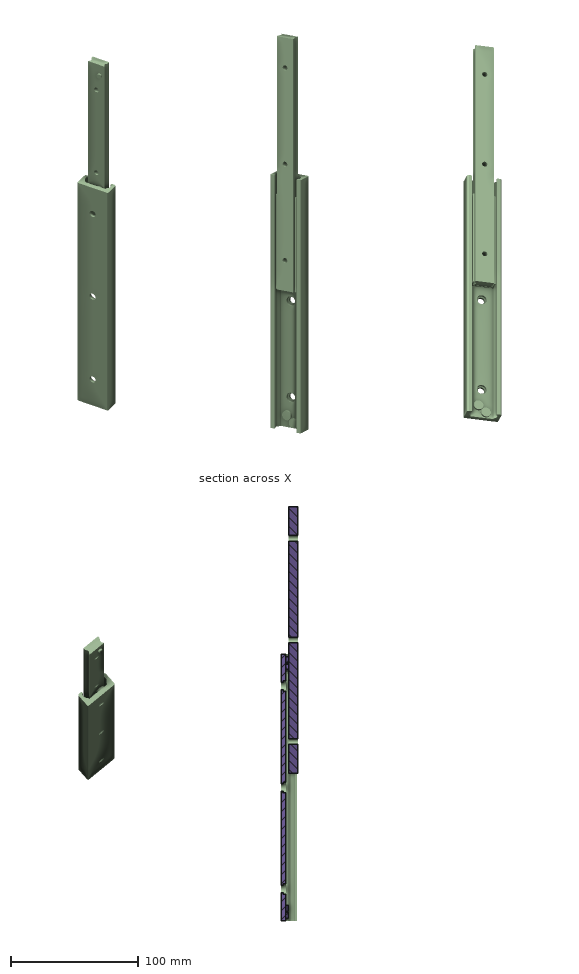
import cadquery as cq

TOTAL_HEIGHT = 326.0
BACK_Y = 6.5
FRONT_Y = -6.5
MEMBER_LENGTH = 210.0
RAIL_BOTTOM = TOTAL_HEIGHT - MEMBER_LENGTH

CHANNEL_HALF_WIDTH = 14.0
LIP_Y = 6.0
FLOOR_Y = -2.5
LIP_HALF_GAP = 10.0
RACE_HALF_GAP = 11.5
FLOOR_HALF_WIDTH = 9.5
RACE_TOP_Y = 4.2
RACE_UPPER_Y = 3.5
RACE_LOWER_Y = 0.5
RACE_BOTTOM_Y = -1.5
LIP_FILLET = 1.3
FRONT_FILLET = 1.0

RAIL_HALF_WIDTH = 7.5
RAIL_FRONT_Y = -0.5
GROOVE_DEPTH = 1.3
GROOVE_TOP_Y = 4.5
GROOVE_UPPER_Y = 2.5
GROOVE_LOWER_Y = 1.3

CAGE_HALF_WIDTH = 9.0
CAGE_SHEET = 1.0
CAGE_TOP_Y = 5.2
CAGE_LENGTH = 78.2

HOLE_PITCH = 80.0
CHANNEL_HOLE_DIAMETER = 5.5
COUNTERBORE_DIAMETER = 7.8
COUNTERBORE_DEPTH = 2.0
RAIL_HOLE_DIAMETER = 4.2

PIN_X = 3.03
STOP_PIN_DIAMETER = 4.0
STOP_PIN_INSET = 10.0
END_PIN_DIAMETER = 3.0
END_PIN_INSET = 4.5
HEAD_DIAMETER = 7.8
HEAD_THICKNESS = 1.8
RAIL_PIN_LENGTH = 1.47


def mirrored_prism(right_half, bottom, length):
    """Prism along Z whose section is right_half plus its mirror image in X = 0."""
    left_half = [(-x, y) for x, y in reversed(right_half)]
    section = cq.Workplane("XY").workplane(offset=bottom).polyline(right_half + left_half).close()
    return section.extrude(length)


def cylinder_along_y(x, z, diameter, start_y, end_y):
    """Cylinder parallel to Y between two Y positions."""
    plane = cq.Plane(origin=(x, start_y, z), xDir=(1, 0, 0), normal=(0, 1, 0))
    return cq.Workplane(plane).circle(diameter / 2).extrude(end_y - start_y)


def mounting_hole_heights(middle_z):
    """Z positions of the three mounting holes of a member."""
    return [middle_z + step * HOLE_PITCH for step in (-1, 0, 1)]


upper_pins = [
    (-PIN_X, MEMBER_LENGTH - STOP_PIN_INSET, STOP_PIN_DIAMETER),
    (PIN_X, MEMBER_LENGTH - END_PIN_INSET, END_PIN_DIAMETER),
]
lower_pins = [(-x, MEMBER_LENGTH - z, diameter) for x, z, diameter in upper_pins]
channel_pin_places = upper_pins + lower_pins


def make_channel():
    """C-section channel with ball races, counterbored mounting holes and pin holes."""
    right_half = [
        (CHANNEL_HALF_WIDTH, FRONT_Y),
        (CHANNEL_HALF_WIDTH, LIP_Y),
        (LIP_HALF_GAP, LIP_Y),
        (LIP_HALF_GAP, RACE_TOP_Y),
        (RACE_HALF_GAP, RACE_UPPER_Y),
        (RACE_HALF_GAP, RACE_LOWER_Y),
        (FLOOR_HALF_WIDTH, RACE_BOTTOM_Y),
        (FLOOR_HALF_WIDTH, FLOOR_Y),
    ]
    channel = mirrored_prism(right_half, 0, MEMBER_LENGTH)
    for y, radius in ((LIP_Y, LIP_FILLET), (FRONT_Y, FRONT_FILLET)):
        for x in (-CHANNEL_HALF_WIDTH, CHANNEL_HALF_WIDTH):
            corner = cq.selectors.NearestToPointSelector((x, y, MEMBER_LENGTH / 2))
            channel = channel.edges(corner).fillet(radius)
    counterbore_y = FLOOR_Y - COUNTERBORE_DEPTH
    for z in mounting_hole_heights(MEMBER_LENGTH / 2):
        channel = channel.cut(cylinder_along_y(0, z, CHANNEL_HOLE_DIAMETER, FRONT_Y, FLOOR_Y))
        channel = channel.cut(cylinder_along_y(0, z, COUNTERBORE_DIAMETER, counterbore_y, FLOOR_Y))
    for x, z, diameter in channel_pin_places:
        channel = channel.cut(cylinder_along_y(x, z, diameter, FRONT_Y, FLOOR_Y))
    return channel


def make_rail():
    """Solid rail with a V-groove along each side and plain mounting holes."""
    groove_x = RAIL_HALF_WIDTH - GROOVE_DEPTH
    right_half = [
        (RAIL_HALF_WIDTH, RAIL_FRONT_Y),
        (groove_x, GROOVE_LOWER_Y),
        (groove_x, GROOVE_UPPER_Y),
        (RAIL_HALF_WIDTH, GROOVE_TOP_Y),
        (RAIL_HALF_WIDTH, BACK_Y),
    ]
    rail = mirrored_prism(right_half, RAIL_BOTTOM, MEMBER_LENGTH)
    for z in mounting_hole_heights(RAIL_BOTTOM + MEMBER_LENGTH / 2):
        rail = rail.cut(cylinder_along_y(0, z, RAIL_HOLE_DIAMETER, RAIL_FRONT_Y, BACK_Y))
    return rail


def make_cage():
    """U-shaped sheet cage in the gap between the rail and the channel."""
    gap_middle = (RAIL_FRONT_Y + FLOOR_Y) / 2
    outer_y = gap_middle - CAGE_SHEET / 2
    inner_y = gap_middle + CAGE_SHEET / 2
    inner_x = CAGE_HALF_WIDTH - CAGE_SHEET
    right_half = [
        (CAGE_HALF_WIDTH, outer_y),
        (CAGE_HALF_WIDTH, CAGE_TOP_Y),
        (inner_x, CAGE_TOP_Y),
        (inner_x, inner_y),
    ]
    return mirrored_prism(right_half, RAIL_BOTTOM, CAGE_LENGTH)


def make_channel_pin(x, z, diameter):
    """Pin flush with the channel front, with a head standing on the inner floor."""
    shank = cylinder_along_y(x, z, diameter, FRONT_Y, FLOOR_Y)
    head = cylinder_along_y(x, z, HEAD_DIAMETER, FLOOR_Y, FLOOR_Y + HEAD_THICKNESS)
    return shank.union(head)


def make_rail_pin():
    """Stop pin standing on the front face of the rail, near its top."""
    z = TOTAL_HEIGHT - STOP_PIN_INSET
    return cylinder_along_y(PIN_X, z, STOP_PIN_DIAMETER, RAIL_FRONT_Y - RAIL_PIN_LENGTH, RAIL_FRONT_Y)


channel = make_channel()
rail = make_rail()
cage = make_cage()
channel_pins = [make_channel_pin(x, z, diameter) for x, z, diameter in channel_pin_places]
rail_pin = make_rail_pin()

result = cq.Compound.makeCompound(
    [channel.val(), rail.val(), cage.val(), *[pin.val() for pin in channel_pins], rail_pin.val()]
)